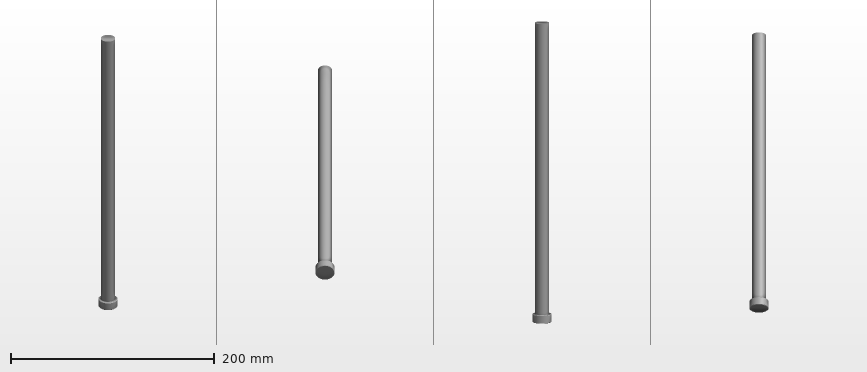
import cadquery as cq

total_length = 300.0
shaft_diameter = 14.0
head_diameter = 19.0
head_height = 8.0
bottom_chamfer = 0.5
top_chamfer = 0.3
neck_fillet_radius = 0.3

shaft_radius = shaft_diameter / 2
head_radius = head_diameter / 2

profile = (
    cq.Workplane("XZ")
    .lineTo(head_radius - bottom_chamfer, 0)
    .lineTo(head_radius, bottom_chamfer)
    .lineTo(head_radius, head_height - top_chamfer)
    .lineTo(head_radius - top_chamfer, head_height)
    .lineTo(shaft_radius + neck_fillet_radius, head_height)
    .radiusArc((shaft_radius, head_height + neck_fillet_radius), neck_fillet_radius)
    .lineTo(shaft_radius, total_length)
    .lineTo(0, total_length)
    .close()
)

result = profile.revolve(360, (0, 0), (0, 1))